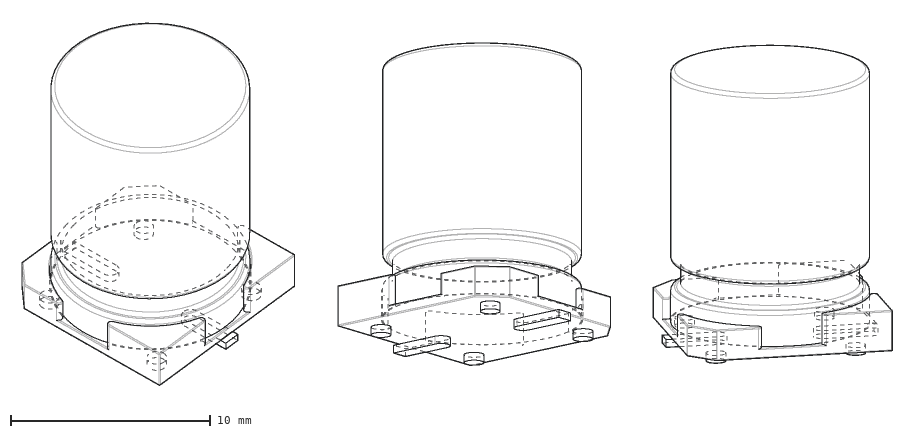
import cadquery as cq
import math

total_height = 14.0
base_width = 10.3
lead_span = 10.9

standoff = 0.4
floor_z = 0.92
low_wall_z = 2.0
high_wall_z = 2.5
corner_chamfer = 1.25
edge_radius = 0.05
can_clearance = 0.063
wall_tip_radius = 0.2

can_radius = 10.0 / 2
groove_radius = 9.0 / 2
can_round = 0.2
groove_bottom_z = 2.73
groove_top_z = 4.12

lead_width = 0.92
lead_inner_x = 2.24
foot_diameter = 1.0
foot_offset = 3.6

half_base = base_width / 2
recess_radius = can_radius + can_clearance


def make_can():
    """Revolved can with rounded rims and a crimped groove."""
    bend = can_round * (1 - math.sqrt(0.5))
    mouth = groove_radius + can_round
    rim = can_radius - can_round
    profile = (
        cq.Workplane("XZ")
        .moveTo(0, floor_z)
        .lineTo(can_radius, floor_z)
        .lineTo(can_radius, groove_bottom_z - can_round)
        .threePointArc((can_radius - bend, groove_bottom_z - bend), (rim, groove_bottom_z))
        .lineTo(mouth, groove_bottom_z)
        .threePointArc(
            (groove_radius + bend, groove_bottom_z + bend), (groove_radius, groove_bottom_z + can_round)
        )
        .lineTo(groove_radius, groove_top_z - can_round)
        .threePointArc((groove_radius + bend, groove_top_z - bend), (mouth, groove_top_z))
        .lineTo(rim, groove_top_z)
        .threePointArc((can_radius - bend, groove_top_z + bend), (can_radius, groove_top_z + can_round))
        .lineTo(can_radius, total_height - can_round)
        .threePointArc((can_radius - bend, total_height - bend), (rim, total_height))
        .lineTo(0, total_height)
        .close()
    )
    return profile.revolve(360, (0, 0, 0), (0, 1, 0))


def make_floor():
    """Square floor slab with both -X corners chamfered and all edges softened."""
    slab = (
        cq.Workplane("XY")
        .workplane(offset=standoff)
        .rect(base_width, base_width)
        .extrude(floor_z - standoff)
        .edges("|Z and <X")
        .chamfer(corner_chamfer)
    )
    return slab.edges().fillet(edge_radius)


def make_corner_wall(top_z, chamfered):
    """Corner wall in the +X +Y quadrant, hugging the can and ending in two round tips."""
    tip_y = half_base - wall_tip_radius
    tip_center_distance = recess_radius + wall_tip_radius
    tip_x = math.sqrt(tip_center_distance**2 - tip_y**2)
    shrink = recess_radius / tip_center_distance
    inner_x = tip_x * shrink
    inner_y = tip_y * shrink
    recess_mid = recess_radius * math.sqrt(0.5)
    tip_end = tip_x - wall_tip_radius

    base_z = (standoff + floor_z) / 2
    wall = (
        cq.Workplane("XY")
        .workplane(offset=base_z)
        .moveTo(half_base, half_base)
        .lineTo(tip_x, half_base)
        .threePointArc((tip_end, tip_y), (inner_x, inner_y))
        .threePointArc((recess_mid, recess_mid), (inner_y, inner_x))
        .threePointArc((tip_y, tip_end), (half_base, tip_x))
        .close()
        .extrude(top_z - base_z)
    )
    corner = cq.selectors.NearestToPointSelector((half_base, half_base, (base_z + top_z) / 2))
    if chamfered:
        wall = wall.edges(corner).chamfer(corner_chamfer)
        chamfer_face = wall.faces(corner)
        wall = wall.newObject(chamfer_face.edges("|Z").vals()).fillet(edge_radius)
    else:
        wall = wall.edges(corner).fillet(edge_radius)
    return wall.faces(">Z").edges().fillet(edge_radius)


def make_lead():
    """Flat lead on the +X side with a half-round inner end."""
    round_radius = lead_width / 2
    bar_start = lead_inner_x + round_radius
    bar_length = lead_span / 2 - bar_start
    bar = cq.Workplane("XY").box(bar_length, lead_width, standoff, centered=False)
    bar = bar.translate((bar_start, -round_radius, 0))
    return bar.union(cq.Workplane("XY").center(bar_start, 0).circle(round_radius).extrude(standoff))


def make_feet():
    """Four round feet under the base corners."""
    return (
        cq.Workplane("XY")
        .rect(2 * foot_offset, 2 * foot_offset, forConstruction=True)
        .vertices()
        .circle(foot_diameter / 2)
        .extrude(standoff)
    )


high_wall = make_corner_wall(high_wall_z, chamfered=False)
low_wall = make_corner_wall(low_wall_z, chamfered=True)
lead = make_lead()

result = make_floor().union(make_can()).union(make_feet())
for wall, angles in ((high_wall, (0, -90)), (low_wall, (90, 180))):
    for angle in angles:
        result = result.union(wall.rotate((0, 0, 0), (0, 0, 1), angle))
for angle in (0, 180):
    result = result.union(lead.rotate((0, 0, 0), (0, 0, 1), angle))